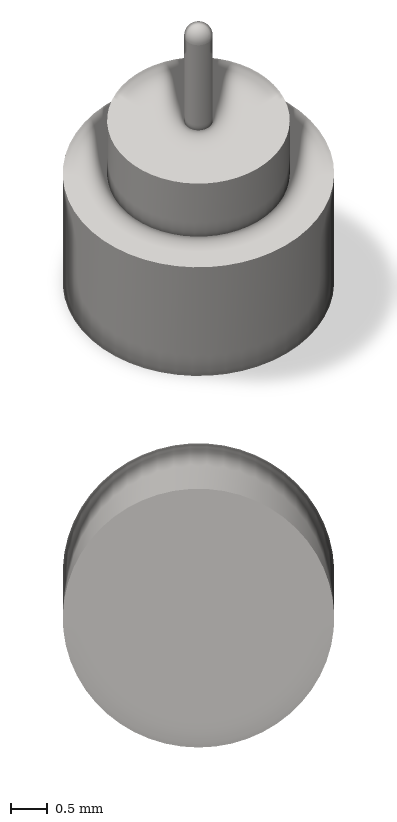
import cadquery as cq

BODY_DIAMETER = 3.7
BODY_HEIGHT = 2.05
COLLAR_DIAMETER = 2.49
COLLAR_HEIGHT = 1.0
CORE_DIAMETER = 1.95
PIN_DIAMETER = 0.39
PIN_LENGTH = 1.8

COLLAR_TOP = BODY_HEIGHT + COLLAR_HEIGHT
PIN_TOP = COLLAR_TOP + PIN_LENGTH


def cylinder(diameter, bottom, top):
    """Upright cylinder centred on the Z axis."""
    return cq.Workplane("XY").workplane(offset=bottom).circle(diameter / 2).extrude(top - bottom)


def make_shell():
    """Stepped body and collar, with a round pocket for the core down through the collar."""
    body = cylinder(BODY_DIAMETER, 0, BODY_HEIGHT)
    collar = cylinder(COLLAR_DIAMETER, BODY_HEIGHT, COLLAR_TOP)
    core_pocket = cylinder(CORE_DIAMETER, BODY_HEIGHT, COLLAR_TOP)
    return body.union(collar).cut(core_pocket)


def make_core():
    """Insulating core, flush with the top of the collar."""
    return cylinder(CORE_DIAMETER, BODY_HEIGHT, COLLAR_TOP)


def make_pin():
    """Contact pin with a hemispherical tip."""
    radius = PIN_DIAMETER / 2
    dome_base = PIN_TOP - radius
    shaft = cylinder(PIN_DIAMETER, COLLAR_TOP, dome_base)
    dome = cq.Workplane("XY").sphere(radius).translate((0, 0, dome_base))
    return shaft.union(dome)


result = make_shell().union(make_core(), clean=False).union(make_pin(), clean=False)